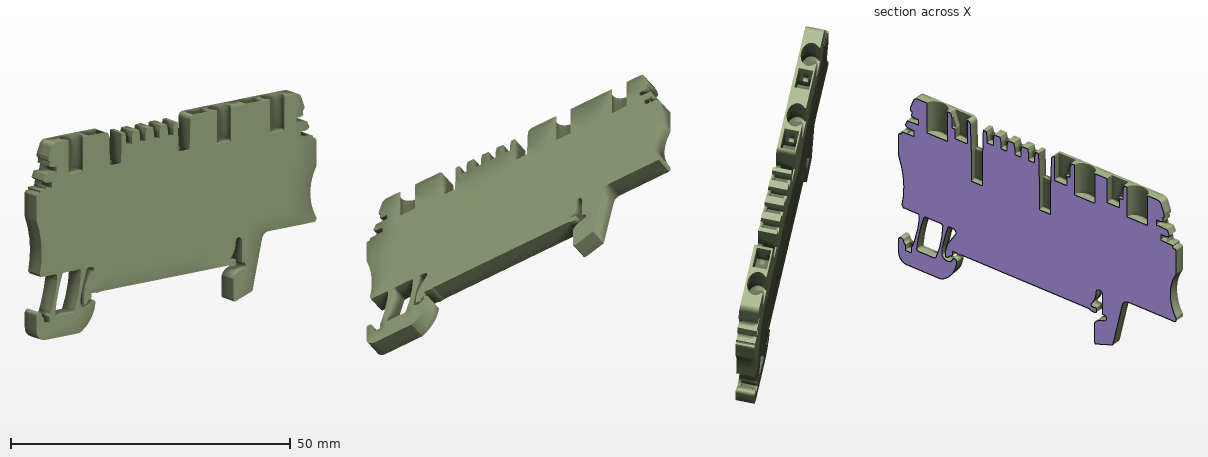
import cadquery as cq
import math

THICKNESS = 3.5
LENGTH = 63.15
HEIGHT = 36.25
HALF_LENGTH = LENGTH / 2
BASE_Z = 11.8
BELLY_Z = 6.95
WINDOW_FLOOR_Z = 4.0
WINDOW_CORNER = 0.4

WALL = 0.55
POCKET_RIGHT_X = 3.2

NOTCH_FLOOR_Z = 29.9
NOTCH_DRAFT = 0.2
NOTCH_CORNER = 0.9
NOTCH_OUTER_Y = 2.95
NOTCH_INNER_Y = 0.5
COMB_CENTER_Y = -6.0
BRIDGE_SHAFT_X = 0.9
BRIDGE_SHAFT_DEPTH = 6.3

COMB_TOP_Z = 35.5
GROOVE_FLOOR_Z = 34.4
GROOVE_COUNT = 4
GROOVE_SPAN = 9.4
GROOVE_PITCH = GROOVE_SPAN / (GROOVE_COUNT - 1)
GROOVE_TOP_WIDTH = 1.75
GROOVE_FLOOR_WIDTH = 1.25

RECESS_LIP = 0.2
RECESS_DEPTH = 1.25
END_RECESSES = ((28.35, 30.8, 31.8), (29.35, 28.0, 29.1))

TROUGH_RECESS_Y = (-29.9, -28.65)
TROUGH_RECESS_Z = (3.0, 4.55)

CLAMPS = ((22.7, 1), (10.75, 1), (-22.7, -1))
FUNNEL_X = 2.0
FUNNEL_HALF_WIDTH = 1.7
FUNNEL_HALF_LENGTH = 2.3
FUNNEL_DEPTH = 6.3
POCKET_OFFSET = 3.0
POCKET_LENGTH = 3.8
POCKET_DEPTH = 5.05
RAMP_DEPTH = 3.0
RAMP_LENGTH = 1.1
RAMP_SLOT_X = 1.5
RAMP_SLOT_WIDTH = 0.95
RAMP_SLOT_LENGTH = 0.75

END_STEPS = [
    (HALF_LENGTH, 27.0),
    (31.4, 27.35),
    (31.0, 27.35),
    (30.8, 27.5),
    (30.8, 27.9),
    (29.5, 27.9),
    (29.25, 29.2),
    (29.7, 29.25),
    (30.05, 29.6),
    (29.55, 30.75),
    (28.35, 30.75),
    (28.1, 31.8),
    (28.65, 32.1),
    (28.55, 32.9),
    (28.9, 33.2),
    (28.85, 33.85),
    (28.15, 35.6),
]
SHOULDER_MID = (27.8, 36.05)
SHOULDER_END = (27.1, HEIGHT)


def mirrored(points):
    """Side outline points carried over to the -Y end."""
    return [(-y, z) for y, z in points]


def housing_outline():
    """Side outline: up the +Y end, over the top, down the -Y end and back along the feet."""
    outline = cq.Workplane("YZ").moveTo(31.25, BASE_Z)

    outline = outline.lineTo(HALF_LENGTH, 12.1).lineTo(HALF_LENGTH, 12.7)
    outline = outline.threePointArc((30.25, 17.35), (HALF_LENGTH, 22.05))
    outline = outline.polyline(END_STEPS, includeCurrent=True)
    outline = outline.threePointArc(SHOULDER_MID, SHOULDER_END)

    outline = outline.lineTo(-SHOULDER_END[0], HEIGHT)
    outline = outline.threePointArc((-SHOULDER_MID[0], SHOULDER_MID[1]), mirrored(END_STEPS)[-1])
    outline = outline.polyline(mirrored(END_STEPS)[-2::-1], includeCurrent=True)
    outline = outline.lineTo(-HALF_LENGTH, 22.5)
    outline = outline.threePointArc((-30.45, 17.25), (-30.8, 12.3))
    outline = outline.lineTo(-30.5, BASE_Z)

    outline = outline.lineTo(-27.3, BASE_Z)
    outline = outline.threePointArc((-27.0, 11.7), (-26.9, 11.35))
    outline = outline.lineTo(-26.9, 10.6)
    outline = outline.threePointArc((-27.45, 7.7), (-28.3, 4.9))

    outline = outline.threePointArc((-29.35, WINDOW_FLOOR_Z), (-30.4, 4.7))
    outline = outline.threePointArc((-31.0, 5.3), (-HALF_LENGTH, 4.7))
    outline = outline.lineTo(-HALF_LENGTH, 1.9)
    outline = outline.threePointArc((-31.0, 0.55), (-29.7, 0))
    outline = outline.lineTo(-21.85, 0)
    outline = outline.threePointArc((-19.6, 1.8), (-18.25, 5.2))

    outline = outline.threePointArc((-18.55, 5.55), (-19.1, 5.7))
    outline = outline.threePointArc((-20.5, 4.5), (-21.65, 5.3))
    outline = outline.lineTo(-21.6, 6.6)
    outline = outline.threePointArc((-21.0, 9.1), (-20.4, 11.25))
    outline = outline.threePointArc((-20.25, 11.6), (-19.9, BASE_Z))
    outline = outline.lineTo(-19.2, BASE_Z)
    outline = outline.threePointArc((-18.6, 11.5), (-18.75, 10.7))
    outline = outline.lineTo(-20.3, 8.3)
    outline = outline.threePointArc((-20.7, 7.25), (-20.9, 5.1))

    outline = outline.lineTo(-20.3, 5.2).lineTo(-19.9, 5.7).lineTo(-19.2, 6.05)
    outline = outline.lineTo(-19.2, BELLY_Z).lineTo(-18.45, BELLY_Z)
    outline = outline.threePointArc((-17.8, 6.8), (-17.2, BELLY_Z))
    outline = outline.lineTo(11.9, BELLY_Z)

    outline = outline.threePointArc((12.75, 6.6), (13.45, 6.8))
    outline = outline.lineTo(13.45, 7.75).lineTo(12.45, 7.75).lineTo(12.2, 8.15)
    outline = outline.threePointArc((13.0, 9.35), (13.4, 11.1))
    outline = outline.threePointArc((14.1, BASE_Z), (14.8, 11.1))
    outline = outline.lineTo(14.8, BELLY_Z).lineTo(15.35, BELLY_Z)

    outline = outline.threePointArc((15.65, 6.45), (14.95, 5.75))
    outline = outline.lineTo(14.2, 5.5)
    outline = outline.threePointArc((13.4, 5.0), (12.9, 4.2))
    outline = outline.lineTo(12.9, 0.3).lineTo(13.2, 0).lineTo(17.2, 1.3)
    outline = outline.lineTo(19.4, 10.85)
    outline = outline.threePointArc((19.75, 11.4), (20.6, BASE_Z))
    return outline.close()


def along_x(profile, start=0.0, end=THICKNESS):
    """Side profile extruded between two X positions."""
    return profile.extrude(end - start).translate((start, 0, 0))


def block(x_range, y_range, z_range):
    """Box given by its limits along each axis."""
    limits = (x_range, y_range, z_range)
    sizes = [abs(b - a) for a, b in limits]
    return cq.Workplane("XY").box(*sizes, centered=False).translate(tuple(min(r) for r in limits))


def foot_window():
    """Slanted opening between the two arms of the -Y foot."""
    window = (
        cq.Workplane("YZ")
        .moveTo(-21.5, BASE_Z)
        .lineTo(-25.65, BASE_Z)
        .threePointArc((-26.7, 8.2), (-27.4, WINDOW_FLOOR_Z))
        .lineTo(-23.2, WINDOW_FLOOR_Z)
        .threePointArc((-22.0, 7.9), (-21.5, BASE_Z))
        .close()
    )
    return along_x(window).edges("|X").fillet(WINDOW_CORNER)


def bridge_notch():
    """Drafted notch on the +Y side of the comb with its rounded mouth and the shaft below it."""
    mouth_y = NOTCH_OUTER_Y + NOTCH_DRAFT
    notch = (
        cq.Workplane("YZ")
        .moveTo(NOTCH_OUTER_Y, NOTCH_FLOOR_Z)
        .lineTo(mouth_y, HEIGHT - NOTCH_CORNER)
        .radiusArc((mouth_y + NOTCH_CORNER, HEIGHT), NOTCH_CORNER)
        .lineTo(NOTCH_INNER_Y - NOTCH_DRAFT, HEIGHT)
        .lineTo(NOTCH_INNER_Y, NOTCH_FLOOR_Z)
        .close()
    )
    shaft = block(
        (BRIDGE_SHAFT_X, POCKET_RIGHT_X),
        (NOTCH_INNER_Y, NOTCH_OUTER_Y),
        (NOTCH_FLOOR_Z - BRIDGE_SHAFT_DEPTH, NOTCH_FLOOR_Z),
    )
    return along_x(notch).union(shaft)


def marker_recess(surface, width):
    """Recess open on the +X side, sunk along local -y and centred on the origin of the surface plane."""
    return (
        surface.moveTo(RECESS_LIP, 0)
        .lineTo(WALL, RECESS_LIP - WALL)
        .lineTo(WALL, -RECESS_DEPTH)
        .lineTo(THICKNESS, -RECESS_DEPTH)
        .lineTo(THICKNESS, 0)
        .close()
        .extrude(width / 2, both=True)
    )


def end_recess(wall_y, lower_z, upper_z):
    """Recess in a marker groove of the +Y end."""
    wall = cq.Workplane("XY", origin=(0, wall_y, (lower_z + upper_z) / 2))
    return marker_recess(wall, upper_z - lower_z)


def comb_groove(center_y):
    """Tapered marker groove with a recess in its floor."""
    groove = (
        cq.Workplane("YZ")
        .moveTo(center_y - GROOVE_TOP_WIDTH / 2, COMB_TOP_Z)
        .lineTo(center_y + GROOVE_TOP_WIDTH / 2, COMB_TOP_Z)
        .lineTo(center_y + GROOVE_FLOOR_WIDTH / 2, GROOVE_FLOOR_Z)
        .lineTo(center_y - GROOVE_FLOOR_WIDTH / 2, GROOVE_FLOOR_Z)
        .close()
    )
    floor = cq.Workplane("XZ", origin=(0, center_y, GROOVE_FLOOR_Z))
    recess = marker_recess(floor, GROOVE_FLOOR_WIDTH)
    return along_x(groove).union(recess)


def wire_funnel(center_y):
    """Elliptical wire entry with a straight-sided mouth through the +X side."""
    mouth_half_length = FUNNEL_HALF_LENGTH * math.sqrt(
        1 - ((POCKET_RIGHT_X - FUNNEL_X) / FUNNEL_HALF_WIDTH) ** 2
    )
    mouth = block(
        (FUNNEL_X, THICKNESS),
        (center_y - mouth_half_length, center_y + mouth_half_length),
        (HEIGHT - FUNNEL_DEPTH, HEIGHT),
    )
    funnel = (
        cq.Workplane("XY", origin=(FUNNEL_X, center_y, HEIGHT - FUNNEL_DEPTH))
        .ellipse(FUNNEL_HALF_WIDTH, FUNNEL_HALF_LENGTH)
        .extrude(FUNNEL_DEPTH)
    )
    return funnel.union(mouth)


def test_pocket(start_y, side):
    """Pocket with a steep slotted ramp on the end next to the wire funnel."""
    floor_z = HEIGHT - POCKET_DEPTH
    ramp_foot_z = HEIGHT - RAMP_DEPTH
    ramp_foot_y = start_y - side * RAMP_LENGTH
    far_y = start_y - side * POCKET_LENGTH
    pocket = (
        cq.Workplane("YZ")
        .moveTo(start_y, HEIGHT)
        .lineTo(ramp_foot_y, ramp_foot_z)
        .lineTo(ramp_foot_y, floor_z)
        .lineTo(far_y, floor_z)
        .lineTo(far_y, HEIGHT)
        .close()
    )
    slot = block(
        (RAMP_SLOT_X, RAMP_SLOT_X + RAMP_SLOT_WIDTH),
        (ramp_foot_y, ramp_foot_y + side * RAMP_SLOT_LENGTH),
        (ramp_foot_z, HEIGHT),
    )
    return along_x(pocket, WALL, POCKET_RIGHT_X).union(slot)


result = along_x(housing_outline()).cut(foot_window())
result = result.cut(block((WALL, THICKNESS), TROUGH_RECESS_Y, TROUGH_RECESS_Z))

notch = bridge_notch()
result = result.cut(notch)
result = result.cut(notch.mirror("XZ").translate((0, 2 * COMB_CENTER_Y, 0)))

comb_half_length = NOTCH_INNER_Y - COMB_CENTER_Y
result = result.cut(
    block(
        (0, THICKNESS),
        (COMB_CENTER_Y - comb_half_length, COMB_CENTER_Y + comb_half_length),
        (COMB_TOP_Z, HEIGHT),
    )
)
for index in range(GROOVE_COUNT):
    groove_y = COMB_CENTER_Y - GROOVE_SPAN / 2 + index * GROOVE_PITCH
    result = result.cut(comb_groove(groove_y))

for wall_y, lower_z, upper_z in END_RECESSES:
    recess = end_recess(wall_y, lower_z, upper_z)
    result = result.cut(recess).cut(recess.mirror("XZ"))

for funnel_y, side in CLAMPS:
    result = result.cut(wire_funnel(funnel_y))
    result = result.cut(test_pocket(funnel_y - side * POCKET_OFFSET, side))